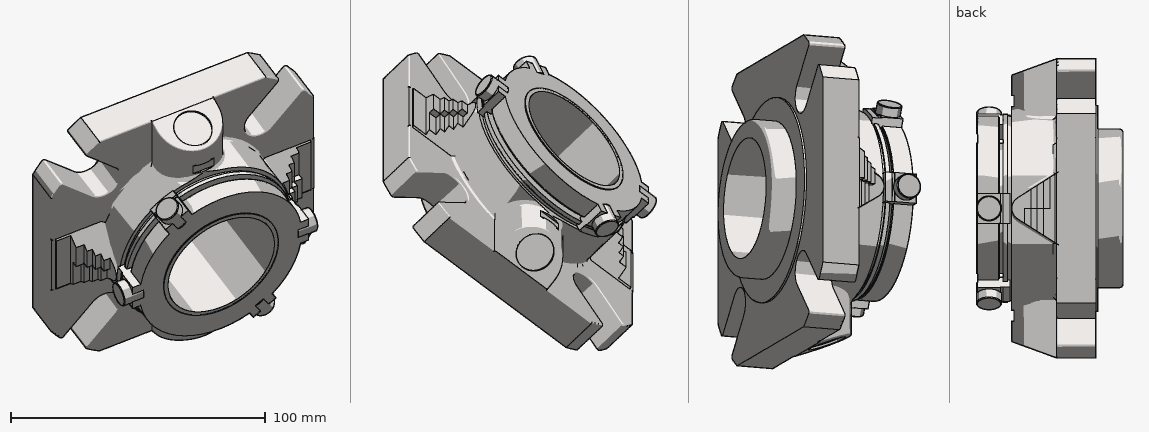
import cadquery as cq
import math

total_length = 57.5
gasket_start = 9.9
plate_start = 10.7
plate_end = 26.1
boss_end = 43.8
flange_step = 45.3
flange_end = 47.1
collar_lip_start = 48.5
collar_start = 49.0
collar_end = 57.1

bore_dia = 47.6
tube_dia = 51.2
sleeve_dia = 62.4
collar_lip_dia = 71.3
flange_dia = 72.5
spring_dia = 74.0
boss_dia = 76.1
gasket_dia = 80.9

plate_size = 117.5
plate_corner_dia = 139.1
slot_width = 14.6
slot_center_radius = 49.6
slot_mouth_fillet = 1.2
plate_edge_fillet = 0.7
sleeve_fillet = 1.5

port_lug_radius = 13.9
port_lug_tip_x = 43.7
port_lug_slope = 20.0
port_recess_dia = 15.3
port_recess_depth = 0.9
port_rim_fillet = 0.5
port_recess_x = 34.4
port_relief_x = 42.9
port_relief_height = 44.3

stair_half_width = 13.9
stair_point_x = 47.9
stair_point_radius = 4.9
stair_start = 28.8
stair_run = 2.5
stair_levels = [50.5, 47.0, 44.6, 42.2, 39.3]
pad_end = 26.8
stair_pad_reach = 57.0

boss_fillet = 1.4
stair_fillet = 1.2
port_fillet = 2.0
boss_overrun = 4.7

clip_angles = [0, 120, 180, 300]
clip_start = 44.3
clip_groove_start = 47.1
clip_groove_depth = 0.4
clip_flat_start = 48.2
clip_width = 11.7
clip_inner = 34.5
clip_outer = 39.3
screw_head_dia = 9.9
screw_head_top = 43.3
screw_chamfer = 0.4

tolerance = 0.01


def cylinder_x(diameter, start, end):
    return cq.Workplane("YZ", origin=(start, 0, 0)).circle(diameter / 2).extrude(end - start)


def box_between(x_range, y_range, z_range):
    sizes = [high - low for low, high in (x_range, y_range, z_range)]
    return cq.Workplane("XY").box(*sizes, centered=False).translate((x_range[0], y_range[0], z_range[0]))


def turned(body, angle):
    return body.rotate((0, 0, 0), (1, 0, 0), angle)


def make_plate():
    """Square plate with rounded corners, each opened by a diagonal bolt slot."""
    half = plate_size / 2
    plate = box_between((plate_start, plate_end), (-half, half), (-half, half))
    plate = plate.intersect(cylinder_x(plate_corner_dia, plate_start, plate_end))
    slot = box_between(
        (plate_start, plate_end),
        (slot_center_radius, slot_center_radius + plate_size),
        (-slot_width / 2, slot_width / 2),
    )
    slot_end = cylinder_x(slot_width, plate_start, plate_end).translate((0, slot_center_radius, 0))
    slot = slot.union(slot_end)
    for quarter in range(4):
        plate = plate.cut(turned(slot, 45 + 90 * quarter))

    mouth_reach = math.sqrt((plate_corner_dia / 2) ** 2 - (slot_width / 2) ** 2)
    mouth = []
    for edge in plate.edges("|X").vals():
        center = edge.Center()
        along = (abs(center.y) + abs(center.z)) / math.sqrt(2)
        if abs(along - mouth_reach) < tolerance:
            mouth.append(edge)
    plate = plate.newObject(mouth).fillet(slot_mouth_fillet)
    return plate.faces(">X").edges().fillet(plate_edge_fillet)


def lug_block(outline):
    """Plain lug from an outline in XY, standing from the axis toward +Z."""
    return outline.close().extrude(plate_size / 2)


def make_port_block():
    """D-shaped block for the port lug."""
    base_x = plate_start
    center_x = port_lug_tip_x - port_lug_radius
    outline = (
        cq.Workplane("XY")
        .moveTo(base_x, -port_lug_radius)
        .lineTo(center_x, -port_lug_radius)
        .threePointArc((port_lug_tip_x, 0), (center_x, port_lug_radius))
        .lineTo(base_x, port_lug_radius)
    )
    return lug_block(outline)


def make_stair_block():
    """Round-nosed triangular block for the stepped lug, turned to stand toward -Y."""
    slope = stair_half_width / (stair_point_x - plate_end)
    base_half_width = slope * (stair_point_x - plate_start)
    outline = cq.Workplane("XY").polyline([
        (plate_start, -base_half_width),
        (stair_point_x, 0),
        (plate_start, base_half_width),
    ])
    return turned(lug_block(outline).edges("|Z").edges(">X").fillet(stair_point_radius), 90)


def on_boss_surface(edge):
    samples = [edge.positionAt(t) for t in (0, 0.5, 1)]
    return all(abs(math.hypot(p.y, p.z) - boss_dia / 2) < tolerance for p in samples)


def make_blended_boss():
    """Round boss with four plain lugs, blended together and trimmed flat at both ends."""
    boss = cylinder_x(boss_dia, plate_start - boss_overrun, boss_end + boss_overrun)
    for angle in (0, 180):
        boss = boss.union(turned(make_port_block(), angle)).union(turned(make_stair_block(), angle))
    foot_edges = [
        edge
        for edge in boss.edges().vals()
        if on_boss_surface(edge) and plate_start - tolerance < edge.Center().x < boss_end
    ]
    port_feet = [edge for edge in foot_edges if abs(edge.Center().z) > abs(edge.Center().y)]
    boss = boss.newObject(port_feet).fillet(port_fillet)
    stair_feet = [edge for edge in foot_edges if abs(edge.Center().z) < abs(edge.Center().y)]
    boss = boss.newObject(stair_feet).fillet(stair_fillet)
    return boss.intersect(cylinder_x(2 * plate_size, plate_end - plate_edge_fillet, boss_end))


def make_base_fillet():
    """Concave ring that eases the boss into the plate."""
    radius = boss_dia / 2
    middle = boss_fillet * (1 - math.sqrt(0.5))
    return (
        cq.Workplane("XY")
        .moveTo(plate_end, radius - boss_fillet)
        .lineTo(plate_end, radius + boss_fillet)
        .threePointArc((plate_end + middle, radius + middle), (plate_end + boss_fillet, radius))
        .lineTo(plate_end + boss_fillet, radius - boss_fillet)
        .close()
        .revolve(360, (0, 0, 0), (1, 0, 0))
    )


def make_port_cutter():
    """Material to remove from the +Z lug: sloped top and relief at the foot of the tip."""
    slope = math.tan(math.radians(port_lug_slope))
    top = plate_size / 2
    far_x = boss_end + boss_overrun
    above = (
        cq.Workplane("XZ")
        .polyline([(plate_end, top), (far_x, top), (far_x, top - (far_x - plate_end) * slope)])
        .close()
        .extrude(port_lug_radius + port_fillet, both=True)
    )
    relief = box_between(
        (port_relief_x, boss_end),
        (-port_lug_radius, port_lug_radius),
        (boss_dia / 2 + port_fillet, port_relief_height),
    )
    return above.union(relief)


def make_port_recess():
    """Shallow round recess sunk square into the sloped top of the +Z lug."""
    slope = math.radians(port_lug_slope)
    recess_z = plate_size / 2 - (port_recess_x - plate_end) * math.tan(slope)
    normal = (math.sin(slope), 0, math.cos(slope))
    return (
        cq.Workplane(cq.Plane((port_recess_x, 0, recess_z), (0, 1, 0), normal))
        .circle(port_recess_dia / 2)
        .extrude(-port_recess_depth)
    )


def round_port_rim(body):
    """Ease the rim of the sloped +Z top, leaving the end against the plate sharp."""
    sloped = [face for face in body.faces("%PLANE").vals() if tolerance < face.normalAt().x < 1.2 - tolerance]
    top_face = max(sloped, key=lambda face: face.Center().z)
    rim = [edge for edge in top_face.outerWire().Edges() if edge.Center().x > plate_end + port_rim_fillet]
    return body.newObject(rim).fillet(port_rim_fillet)


def half_stair_cutter(first_tread_end):
    """Space outside a staircase that descends along X, on the -Y side, one half-width tall in Z."""
    reach = -plate_size / 2
    points = [(plate_end, reach), (plate_end, -stair_pad_reach), (pad_end, -stair_pad_reach)]
    x = pad_end
    next_x = first_tread_end
    for level in stair_levels:
        points += [(x, -level), (next_x, -level)]
        x = next_x
        next_x += stair_run
    points[-1] = (boss_end, -stair_levels[-1])
    points.append((boss_end, reach))
    return cq.Workplane("XY").polyline(points).close().extrude(stair_half_width + 2 * stair_fillet)


def make_stair_cutter():
    """Staircase cutter for the -Y lug; the +Z half is one tread ahead of the -Z half."""
    ahead = half_stair_cutter(stair_start + stair_run)
    behind = half_stair_cutter(stair_start).mirror("XY")
    return ahead.union(behind)


def make_clip():
    """Clip on +Y: a rounded foot, a shallow groove, a flat pad and a screw head."""
    side = clip_width / 2
    blank = box_between((clip_start, collar_end), (clip_inner, clip_outer), (-side, side))
    rounded = cylinder_x(2 * clip_outer, clip_start, clip_groove_start)
    groove_floor = clip_outer - clip_groove_depth
    neck = box_between((clip_groove_start, clip_flat_start), (clip_inner, groove_floor), (-side, side))
    flat = box_between((clip_flat_start, collar_end), (clip_inner, clip_outer), (-side, side))
    screw = (
        cq.Workplane("XZ", origin=(total_length - screw_head_dia / 2, clip_inner, 0))
        .circle(screw_head_dia / 2)
        .extrude(clip_inner - screw_head_top)
        .faces(">Y")
        .chamfer(screw_chamfer)
    )
    return blank.intersect(rounded).union(neck).union(flat).union(screw)


boss = make_blended_boss().union(make_base_fillet())
for angle in (0, 180):
    boss = boss.cut(turned(make_port_cutter(), angle))
    boss = boss.cut(turned(make_stair_cutter(), angle))

for _ in range(2):
    boss = turned(round_port_rim(boss).cut(make_port_recess()), 180)

sleeve = cylinder_x(sleeve_dia, 0, plate_start).faces("<X").edges().fillet(sleeve_fillet)
gasket = cylinder_x(gasket_dia, gasket_start, plate_start)
body = make_plate().union(boss).union(sleeve).union(gasket)

body = body.union(cylinder_x(flange_dia, boss_end, flange_step))
body = body.union(cylinder_x(spring_dia, flange_step, flange_end))
body = body.union(cylinder_x(tube_dia, flange_end, total_length))
body = body.union(cylinder_x(collar_lip_dia, collar_lip_start, collar_start))
body = body.union(cylinder_x(flange_dia, collar_start, collar_end))
clip = make_clip()
for angle in clip_angles:
    body = body.union(turned(clip, angle))

result = body.cut(cylinder_x(bore_dia, 0, total_length))